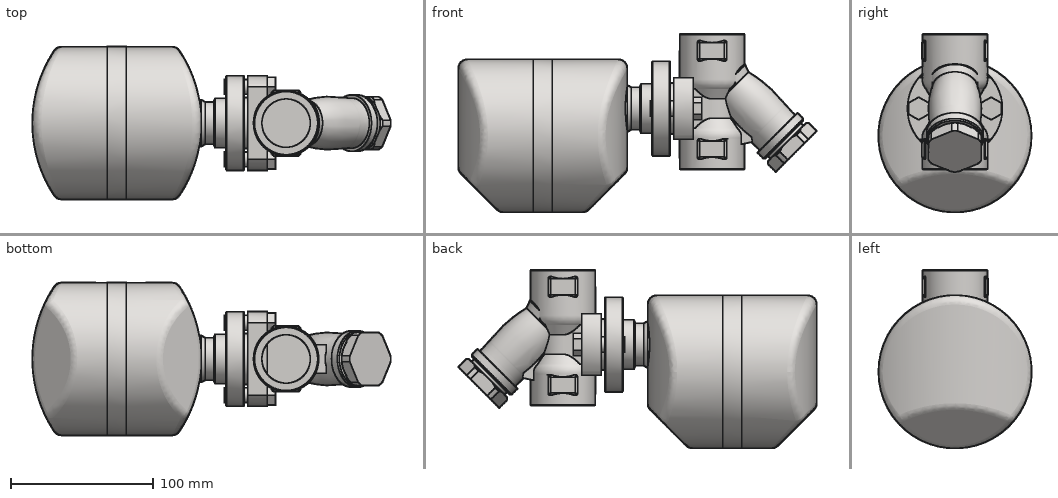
import cadquery as cq
import math


head_left = -178.8
head_right = -59.5
head_mid_x = (head_left + head_right) / 2
head_z = -19.2
head_d = 107.8
head_r = head_d / 2
head_band_d = 108.0
head_band_width = 13.1
head_bulge_r = 92.0
head_slope_rise = 29.0
head_edge_fillet = 6.5

neck_root_d = 33.0
neck_waist_d = 30.0
neck_collar_d = 35.0
neck_waist_start = -57.0
neck_waist_end = -51.0
neck_collar_start = -50.0

flange_d = 67.0
flange_r = flange_d / 2
round_flange_start = -42.5
round_flange_end = -29.3
round_flange_chamfer = 0.8
flat_flange_start = -27.0
flat_flange_end = -13.1
flat_half_height = 21.7
flat_corner_z = 19.0
spigot_d = 36.0

bolt_d = 10.5
bolt_y = 25.5
bolt_head_height = 1.0
nut_flats = 14.0
nut_height = 5.8

pipe_d = 46.0
pipe_r = pipe_d / 2
pipe_top = 52.8
pipe_bottom = -43.2
pipe_chamfer = 0.8
pipe_bore_d = 34.0
pipe_bore_depth = 30.3
shoulder_top = 20.5
shoulder_bottom = -21.2
shoulder_mid_r = 22.5
shoulder_mid_z = 17.2
waist_shoulder_half_height = 14.0
waist_shoulder_r = 20.5
waist_half_height = 6.8
waist_d = 33.0

web_outline = [(3.8, 5.0), (11.4, -15.1), (20.2, -25.2), (24.2, -24.5), (28.3, -23.5), (25.8, 0.0)]
web_thickness = 20.2

pad_width = 20.7
pad_height = 14.6
pad_bevel = 1.8
pad_face_y = 23.2
pad_base_y = 17.7
pad_centres_z = (40.6, -28.5)

branch_z = 29.0
branch_tilt = 135
branch_flare_r = 18.0
branch_flare_start = 15.1
branch_root_r = 16.0
branch_root = 20.5
branch_belly_r = 18.7
branch_belly = 39.1
branch_lip_r = 18.0
branch_lip = 56.0
branch_neck_r = 17.7
branch_neck_start = 61.9
branch_collar_start = 65.1
branch_collar_end = 72.0
branch_collar_d = 40.0
branch_collar_chamfer = 1.0
branch_groove_d = 33.0
cap_start = 74.5
cap_end = 83.8
cap_flats = 37.4
cap_turned_d = 41.0
cap_chamfer = 1.3


def x_cylinder(diameter, start, end, y=0.0, z=0.0):
    """Cylinder along X from start to end."""
    return cq.Workplane("YZ", origin=(start, y, z)).circle(diameter / 2).extrude(end - start)


def float_head():
    """Barrel with both ends bulged about Z, 45 degree lower corners and rounded edges."""
    barrel = x_cylinder(head_d, head_left, head_right, z=head_z)
    bulge_depth = head_bulge_r - math.sqrt(head_bulge_r**2 - head_r**2)
    bulged_outline = (
        cq.Workplane("XY", origin=(0, 0, head_z - head_d))
        .moveTo(head_left + bulge_depth, -head_r)
        .lineTo(head_right - bulge_depth, -head_r)
        .threePointArc((head_right, 0), (head_right - bulge_depth, head_r))
        .lineTo(head_left + bulge_depth, head_r)
        .threePointArc((head_left, 0), (head_left + bulge_depth, -head_r))
        .close()
        .extrude(2 * head_d)
    )
    bottom = head_z - head_r
    top = head_z + head_r
    sloped_outline = (
        cq.Workplane("XZ", origin=(0, head_d, 0))
        .moveTo(head_left, top)
        .lineTo(head_right, top)
        .lineTo(head_right, bottom + head_slope_rise)
        .lineTo(head_right - head_slope_rise, bottom)
        .lineTo(head_left + head_slope_rise, bottom)
        .lineTo(head_left, bottom + head_slope_rise)
        .close()
        .extrude(2 * head_d)
    )
    head = barrel.intersect(bulged_outline).intersect(sloped_outline)
    head = head.edges().fillet(head_edge_fillet)
    half_band = head_band_width / 2
    band = x_cylinder(head_band_d, head_mid_x - half_band, head_mid_x + half_band, z=head_z)
    return head.union(band)


def neck():
    """Turned neck flaring into the head, with a collar against the round flange."""
    return (
        cq.Workplane("XY")
        .moveTo(head_mid_x, 0)
        .lineTo(head_mid_x, neck_root_d / 2)
        .lineTo(head_right, neck_root_d / 2)
        .lineTo(neck_waist_start, neck_waist_d / 2)
        .lineTo(neck_waist_end, neck_waist_d / 2)
        .lineTo(neck_collar_start, neck_collar_d / 2)
        .lineTo(round_flange_start, neck_collar_d / 2)
        .lineTo(round_flange_start, 0)
        .close()
        .revolve(360, (0, 0, 0), (1, 0, 0))
    )


def flanges():
    """Round flange, spigot and the flange flattened at top and bottom."""
    round_flange = x_cylinder(flange_d, round_flange_start, round_flange_end)
    round_flange = round_flange.edges().chamfer(round_flange_chamfer)
    spigot = x_cylinder(spigot_d, round_flange_end, flat_flange_start)

    flat_y = math.sqrt(flange_r**2 - flat_half_height**2)
    corner_y = math.sqrt(flange_r**2 - flat_corner_z**2)
    flat_flange = (
        cq.Workplane("YZ", origin=(flat_flange_start, 0, 0))
        .moveTo(-flat_y, flat_half_height)
        .lineTo(flat_y, flat_half_height)
        .lineTo(corner_y, flat_corner_z)
        .threePointArc((flange_r, 0), (corner_y, -flat_corner_z))
        .lineTo(flat_y, -flat_half_height)
        .lineTo(-flat_y, -flat_half_height)
        .lineTo(-corner_y, -flat_corner_z)
        .threePointArc((-flange_r, 0), (-corner_y, flat_corner_z))
        .close()
        .extrude(flat_flange_end - flat_flange_start)
    )
    return round_flange.union(spigot).union(flat_flange)


def bolt(y):
    """Bolt along X with a low round head and a hexagon nut, corners up and down."""
    shank = x_cylinder(bolt_d, round_flange_start - bolt_head_height, flat_flange_end, y=y)
    nut = (
        cq.Workplane("YZ", origin=(flat_flange_end, y, 0))
        .polygon(6, nut_flats, circumscribed=True)
        .extrude(nut_height)
    )
    return shank.union(nut)


def pipe():
    """Pipe ends joined by a narrower middle with tapering shoulders."""
    body = (
        cq.Workplane("XZ")
        .moveTo(0, pipe_bottom)
        .lineTo(pipe_r - pipe_chamfer, pipe_bottom)
        .lineTo(pipe_r, pipe_bottom + pipe_chamfer)
        .lineTo(pipe_r, shoulder_bottom)
        .threePointArc((shoulder_mid_r, -shoulder_mid_z), (waist_shoulder_r, -waist_shoulder_half_height))
        .lineTo(waist_d / 2, -waist_half_height)
        .lineTo(waist_d / 2, waist_half_height)
        .lineTo(waist_shoulder_r, waist_shoulder_half_height)
        .threePointArc((shoulder_mid_r, shoulder_mid_z), (pipe_r, shoulder_top))
        .lineTo(pipe_r, pipe_top - pipe_chamfer)
        .lineTo(pipe_r - pipe_chamfer, pipe_top)
        .lineTo(0, pipe_top)
        .close()
        .revolve(360, (0, 0, 0), (0, 1, 0))
    )
    bridge = (
        cq.Workplane("YZ", origin=(flat_flange_end, 0, 0))
        .rect(waist_d, 2 * waist_shoulder_half_height)
        .extrude(-flat_flange_end)
    )
    return body.union(bridge)


def pipe_bores():
    """Blind bores in both pipe ends."""
    top_floor = pipe_top - pipe_bore_depth
    top_bore = cq.Workplane("XY", origin=(0, 0, top_floor)).circle(pipe_bore_d / 2).extrude(pipe_bore_depth)
    bottom_bore = top_bore.translate((0, 0, pipe_bottom - top_floor))
    return top_bore.union(bottom_bore)


def wrench_pads(centre_z):
    """Pair of bevelled flat pads on the -Y and +Y sides of the pipe."""
    pad = (
        cq.Workplane("XZ", origin=(0, -pad_base_y, centre_z))
        .rect(pad_width, pad_height)
        .extrude(pad_face_y - pad_base_y)
        .edges("|Y")
        .fillet(pad_bevel)
        .faces("<Y")
        .chamfer(pad_bevel)
    )
    return pad.union(pad.mirror("XZ"))


def branch():
    """Convex strainer barrel with a collar, turned about its own axis and tilted."""
    collar_r = branch_collar_d / 2
    turned = (
        cq.Workplane("XZ")
        .moveTo(0, 0)
        .lineTo(branch_flare_r, 0)
        .lineTo(branch_flare_r, branch_flare_start)
        .lineTo(branch_root_r, branch_root)
        .threePointArc((branch_belly_r, branch_belly), (branch_lip_r, branch_lip))
        .lineTo(branch_neck_r, branch_neck_start)
        .lineTo(branch_neck_r, branch_collar_start)
        .lineTo(collar_r, branch_collar_start)
        .lineTo(collar_r, branch_collar_end - branch_collar_chamfer)
        .lineTo(collar_r - branch_collar_chamfer, branch_collar_end)
        .lineTo(branch_groove_d / 2, branch_collar_end)
        .lineTo(branch_groove_d / 2, cap_start)
        .lineTo(0, cap_start)
        .close()
        .revolve(360, (0, 0, 0), (0, 1, 0))
    )
    cap_length = cap_end - cap_start
    cap_base = cq.Workplane("XY", origin=(0, 0, cap_start))
    cap_corners_d = cap_flats / math.cos(math.pi / 6)
    cap = cap_base.polygon(6, cap_corners_d).extrude(cap_length)
    cap_turned = cap_base.circle(cap_turned_d / 2).extrude(cap_length).faces("<Z").chamfer(cap_chamfer)
    cap = cap.intersect(cap_turned)
    return turned.union(cap).rotate((0, 0, 0), (0, 1, 0), branch_tilt).translate((0, 0, branch_z))


def branch_web():
    """Web filling the corner between the branch underside and the lower pipe end."""
    return cq.Workplane("XZ").polyline(web_outline).close().extrude(web_thickness / 2, both=True)


result = pipe().union(branch()).union(branch_web())
for pad_z in pad_centres_z:
    result = result.union(wrench_pads(pad_z))
result = result.cut(pipe_bores())
result = result.union(flanges()).union(neck()).union(float_head())
for side in (-1, 1):
    result = result.union(bolt(side * bolt_y))